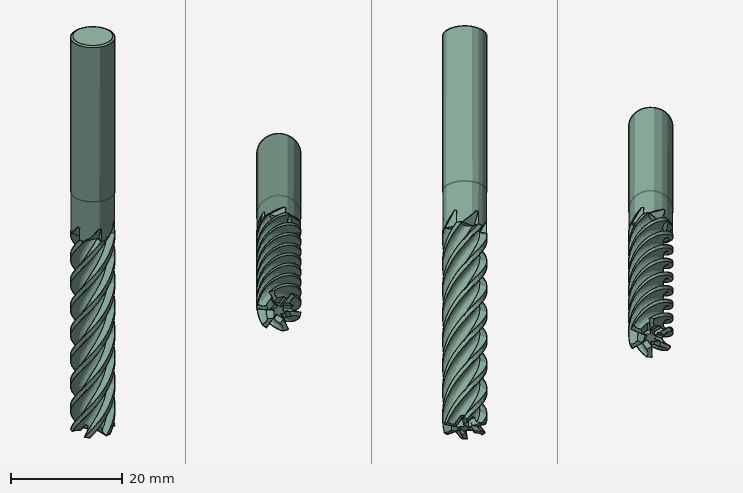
import cadquery as cq
import math

tool_length = 80.0
tool_radius = 4.0
flute_length = 40.0
neck_top = 48.2
neck_taper_height = 0.2
neck_radius = 3.96
top_chamfer_width = 0.4
top_chamfer_height = 0.2

tooth_count = 6
tooth_pitch = 360 / tooth_count
flute_lead = 31.0
flute_twist = 360 * flute_length / flute_lead
edge_angle_at_neck = 283.0
edge_angle_at_tip = edge_angle_at_neck - flute_twist
land_angle = 15.0
core_radius = 2.3
core_angle = 43.0
face_root_radius = 2.7
face_root_angle = 54.0

runout_height = 2.6
runout_tip_width = 0.6
runout_width = 2.7
runout_floor_radius = 2.7

gash_depth = 1.5
gash_floor_width = 0.5
gash_width = 1.6
gash_inner_radius = 0.8

cut_reach = 4.8


def polar(radius, degrees):
    angle = math.radians(degrees)
    return (radius * math.cos(angle), radius * math.sin(angle))


def fluted_section():
    """Closed outline of the teeth and gullets at the tip."""
    section = cq.Workplane("XY").moveTo(*polar(tool_radius, edge_angle_at_tip))
    for tooth in range(tooth_count):
        edge = edge_angle_at_tip + tooth * tooth_pitch
        section = (
            section.threePointArc(
                polar(tool_radius, edge + land_angle / 2),
                polar(tool_radius, edge + land_angle),
            )
            .threePointArc(
                polar(core_radius, edge + core_angle),
                polar(face_root_radius, edge + face_root_angle),
            )
            .lineTo(*polar(tool_radius, edge + tooth_pitch))
        )
    return section.close()


def gash():
    """Notch along the +X radius; its upright wall follows the cutting edge."""
    return (
        cq.Workplane("YZ", origin=(gash_inner_radius, 0, 0))
        .polyline([(0, 0), (0, gash_depth), (-gash_floor_width, gash_depth), (-gash_width, 0)])
        .close()
        .extrude(cut_reach - gash_inner_radius)
    )


def runout():
    """Round-topped pocket beside the +X radius; its floor slopes out to the neck surface."""
    top = flute_length + runout_height
    tip_radius = runout_tip_width / 2
    outline = (
        cq.Workplane("YZ")
        .moveTo(0, flute_length)
        .lineTo(0, top - tip_radius)
        .threePointArc((-tip_radius, top), (-runout_tip_width, top - tip_radius))
        .lineTo(-runout_width, flute_length)
        .close()
        .extrude(cut_reach)
    )
    above_floor = (
        cq.Workplane("XZ")
        .polyline([
            (runout_floor_radius, flute_length),
            (neck_radius, top),
            (cut_reach, top),
            (cut_reach, flute_length),
        ])
        .close()
        .extrude(runout_width, both=True)
    )
    return outline.intersect(above_floor)


def at_each_tooth(feature, first_angle):
    """Copies of a feature turned to every cutting edge."""
    return [
        feature.rotate((0, 0, 0), (0, 0, 1), first_angle + tooth * tooth_pitch)
        for tooth in range(tooth_count)
    ]


def make_cutter():
    """Right-hand helical fluted part with a gash in front of each tooth."""
    cutter = fluted_section().twistExtrude(flute_length, flute_twist)
    for notch in at_each_tooth(gash(), edge_angle_at_tip):
        cutter = cutter.cut(notch)
    return cutter


def make_shank():
    """Chamfered shank and neck, with the ends of the flutes cut into the neck."""
    shank = (
        cq.Workplane("XZ")
        .moveTo(0, flute_length)
        .lineTo(neck_radius, flute_length)
        .lineTo(neck_radius, neck_top)
        .lineTo(tool_radius, neck_top + neck_taper_height)
        .lineTo(tool_radius, tool_length - top_chamfer_height)
        .lineTo(tool_radius - top_chamfer_width, tool_length)
        .lineTo(0, tool_length)
        .close()
        .revolve(360, (0, 0, 0), (0, 1, 0))
    )
    for pocket in at_each_tooth(runout(), edge_angle_at_neck):
        shank = shank.cut(pocket)
    return shank


cutter = make_cutter().solids()
shank = make_shank().solids()

result = cq.Compound.makeCompound([cutter.val(), shank.val()])